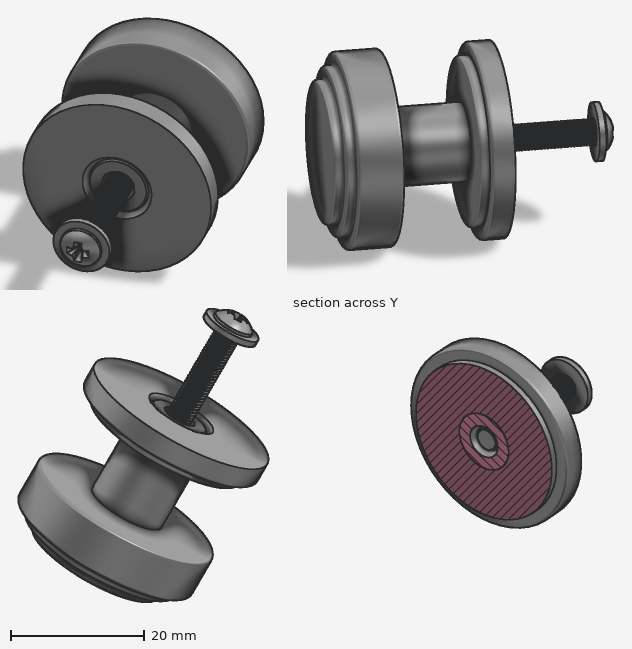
import cadquery as cq
import math


disc_diameter = 30.0
step_radius = 13.0
top_step_radius = 11.0
head_length = 10.0
head_rim_length = 7.0
plate_rim_length = 3.55
stem_radius = 6.0
stem_length = 11.97
disc_radius = disc_diameter / 2
step_height = (head_length - head_rim_length) / 2
edge_fillet = step_height / 3
fillet_middle = edge_fillet * math.sqrt(0.5)

spigot_radius = 4.75
spigot_chamfer = 0.25
spigot_recess = 0.5
plate_bore_chamfer = spigot_recess + spigot_chamfer
screw_hole_radius = 2.6

screw_gap = 15.02
washer_radius = 4.5
washer_thickness = 1.0
washer_bore_radius = 2.15
shank_length = 20.0
thread_turns = 40
thread_diameter = 4.0
thread_depth = 0.3
thread_radius = thread_diameter / 2
core_radius = thread_radius - thread_depth
thread_pitch = shank_length / thread_turns
ridge_base = 0.9 * thread_pitch
ridge_crest = 0.2 * thread_pitch
thread_overlap = 0.05
screw_head_radius = 3.25
dome_radius = 3.2
screw_rim_height = 0.45
dome_height = 1.52

recess_depth = 1.8
arm_length = 2.0
arm_half_width = 0.67
arm_floor_length = 0.75
arm_floor_half_width = 0.22
socket_radius = 1.15
socket_floor_radius = 0.4

plate_shoulder = plate_rim_length
plate_front = plate_shoulder + step_height
head_back = plate_front + stem_length
head_shoulder = head_back + head_rim_length
head_front = head_back + head_length
washer_front = -screw_gap
screw_seat = washer_front - washer_thickness
shank_end = screw_seat + shank_length
dome_base = screw_seat - screw_rim_height
crown = dome_base - dome_height
recess_floor = crown + recess_depth

profile_plane = "XY"


def turned(profile):
    """Solid of revolution about the Y axis."""
    return profile.close().revolve(360, (0, 0), (0, 1))


def add_rounded_corner(outline, radius, y):
    """Run up a cylinder of the given radius and round its front edge onto the flat at y."""
    middle = (radius - edge_fillet + fillet_middle, y - edge_fillet + fillet_middle)
    return outline.lineTo(radius, y - edge_fillet).threePointArc(middle, (radius - edge_fillet, y))


def add_cove(outline, radius, y):
    """Run in along the flat at y and curve up onto a smaller cylinder."""
    middle = (radius + edge_fillet - fillet_middle, y + edge_fillet - fillet_middle)
    return outline.lineTo(radius + edge_fillet, y).threePointArc(middle, (radius, y + edge_fillet))


def make_knob_head():
    """Disc with rounded edges and two coved steps on its front."""
    outline = cq.Workplane(profile_plane).moveTo(0, head_back).lineTo(disc_radius - edge_fillet, head_back)
    back_middle = (disc_radius - edge_fillet + fillet_middle, head_back + edge_fillet - fillet_middle)
    outline = outline.threePointArc(back_middle, (disc_radius, head_back + edge_fillet))
    outline = add_rounded_corner(outline, disc_radius, head_shoulder)
    outline = add_cove(outline, step_radius, head_shoulder)
    outline = add_rounded_corner(outline, step_radius, head_shoulder + step_height)
    outline = add_cove(outline, top_step_radius, head_shoulder + step_height)
    outline = add_rounded_corner(outline, top_step_radius, head_front)
    return turned(outline.lineTo(0, head_front))


def make_stem():
    """Post with a chamfered spigot for the plate and a through clearance hole for the screw."""
    outline = (
        cq.Workplane(profile_plane)
        .moveTo(screw_hole_radius, spigot_recess)
        .lineTo(spigot_radius - spigot_chamfer, spigot_recess)
        .lineTo(spigot_radius, plate_bore_chamfer)
        .lineTo(spigot_radius, plate_front)
        .lineTo(stem_radius, plate_front)
        .lineTo(stem_radius, head_back)
        .lineTo(screw_hole_radius, head_back)
    )
    return turned(outline)


def make_base_plate():
    """Stepped plate whose bore is chamfered at the back."""
    outline = (
        cq.Workplane(profile_plane)
        .moveTo(spigot_radius, plate_front)
        .lineTo(spigot_radius, plate_bore_chamfer)
        .lineTo(spigot_radius + plate_bore_chamfer, 0)
        .lineTo(disc_radius, 0)
    )
    outline = add_rounded_corner(outline, disc_radius, plate_shoulder)
    outline = outline.lineTo(step_radius, plate_shoulder)
    outline = add_rounded_corner(outline, step_radius, plate_front)
    return turned(outline)


def make_washer():
    """Flat ring under the screw head."""
    outline = (
        cq.Workplane(profile_plane)
        .moveTo(washer_bore_radius, screw_seat)
        .lineTo(washer_radius, screw_seat)
        .lineTo(washer_radius, washer_front)
        .lineTo(washer_bore_radius, washer_front)
    )
    return turned(outline)


def make_screw_blank():
    """Domed head and the unthreaded core of the shank."""
    sphere_radius = (dome_radius**2 + dome_height**2) / (2 * dome_height)
    half_angle = math.asin(dome_radius / sphere_radius) / 2
    dome_middle = (
        sphere_radius * math.sin(half_angle),
        crown + sphere_radius * (1 - math.cos(half_angle)),
    )
    outline = (
        cq.Workplane(profile_plane)
        .moveTo(0, crown)
        .threePointArc(dome_middle, (dome_radius, dome_base))
        .lineTo(screw_head_radius, screw_seat)
        .lineTo(core_radius, screw_seat)
        .lineTo(core_radius, shank_end)
        .lineTo(0, shank_end)
    )
    return turned(outline)


def make_thread_ridge():
    """Right-handed helical ridge along the shank."""
    root = core_radius - thread_overlap
    length = shank_length - 2 * thread_pitch
    path = cq.Wire.makeHelix(thread_pitch, length, root)
    ridge = (
        cq.Workplane("XZ")
        .moveTo(root, -ridge_base / 2)
        .lineTo(thread_radius, -ridge_crest / 2)
        .lineTo(thread_radius, ridge_crest / 2)
        .lineTo(root, ridge_base / 2)
        .close()
        .sweep(cq.Workplane(path), isFrenet=True)
    )
    return ridge.rotate((0, 0, 0), (1, 0, 0), -90).translate((0, screw_seat + thread_pitch, 0))


def make_recess_arm():
    """One tapered arm of the cross recess, reaching from the axis toward +X."""
    mouth = cq.Workplane("XZ", origin=(0, crown, 0))
    mouth = mouth.center(arm_length / 2, 0).rect(arm_length, 2 * arm_half_width)
    floor_shift = (arm_floor_length - arm_length) / 2
    floor = mouth.workplane(offset=-recess_depth).center(floor_shift, 0)
    return floor.rect(arm_floor_length, 2 * arm_floor_half_width).loft(ruled=True)


def make_cross_recess():
    """Tapered round socket with four arms at right angles."""
    outline = (
        cq.Workplane(profile_plane)
        .moveTo(0, crown)
        .lineTo(socket_radius, crown)
        .lineTo(socket_floor_radius, recess_floor)
        .lineTo(0, recess_floor)
    )
    recess = turned(outline)
    for quarter in range(4):
        recess = recess.union(make_recess_arm().rotate((0, 0, 0), (0, 1, 0), 90 * quarter))
    return recess


def make_screw():
    """Threaded screw with a cross recess."""
    return make_screw_blank().union(make_thread_ridge()).cut(make_cross_recess())


knob_head = make_knob_head()
stem = make_stem()
base_plate = make_base_plate()
washer = make_washer()
screw = make_screw()

result = cq.Compound.makeCompound(
    [knob_head.val(), stem.val(), base_plate.val(), washer.val(), screw.val()]
)